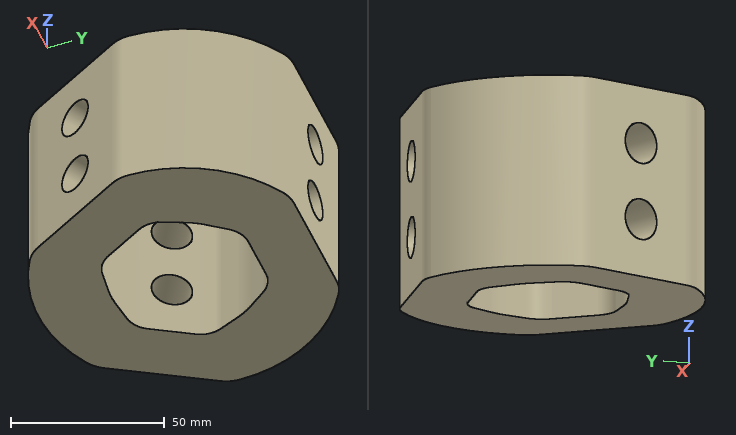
import cadquery as cq
import math

HEIGHT = 63.5
OUTER_RADIUS = 50.8
OUTER_FLAT_DISTANCE = 45.68
OUTER_CORNER_RADIUS = 12.7
FLAT_ANGLES = (90, 210, 330)

BORE_RADIUS = 25.4
BORE_CORNER_RADIUS = 9.525
BORE_SIDE_TILT = 7.0
FLAT_SPACING = 120

SCREW_HOLE_DIAMETER = 13.49
SCREW_HOLE_SPACING = 25.4


def polar(radius, angle):
    """Point at the given radius and angle in degrees."""
    return cq.Vector(radius * math.cos(math.radians(angle)), radius * math.sin(math.radians(angle)))


def make_body():
    """Cylinder cut by three flats, with blended vertical corners."""
    body = cq.Workplane("XY").circle(OUTER_RADIUS).extrude(HEIGHT)
    body = body.rotate((0, 0, 0), (0, 0, 1), FLAT_ANGLES[0])
    triangle_corner_radius = OUTER_FLAT_DISTANCE / math.cos(math.radians(FLAT_SPACING / 2))
    corners = [polar(triangle_corner_radius, angle + FLAT_SPACING / 2) for angle in FLAT_ANGLES]
    flats = cq.Workplane("XY").polyline(corners).close().extrude(HEIGHT)
    return body.intersect(flats).edges("|Z").fillet(OUTER_CORNER_RADIUS)


def corner_arc(corner_angle, half_turn, radius):
    """Start, middle and end of the arc that rounds a corner of the bore.

    The sides at the corner are tangent to the inscribed circle, half_turn degrees
    to either side of corner_angle.
    """
    cos_half_turn = math.cos(math.radians(half_turn))
    center = polar((BORE_RADIUS - radius) / cos_half_turn, corner_angle)
    return [center + polar(radius, corner_angle + turn) for turn in (-half_turn, 0, half_turn)]


def make_bore():
    """Prism that fills the bore."""
    half_spacing = FLAT_SPACING / 2
    flat_end_half_turn = (half_spacing - BORE_SIDE_TILT) / 2
    arcs = []
    for angle in FLAT_ANGLES:
        arcs.append(corner_arc(angle - flat_end_half_turn, flat_end_half_turn, BORE_CORNER_RADIUS))
        arcs.append(corner_arc(angle + flat_end_half_turn, flat_end_half_turn, BORE_CORNER_RADIUS))
        arcs.append(corner_arc(angle + half_spacing, BORE_SIDE_TILT, BORE_RADIUS))

    first_start = arcs[0][0]
    profile = cq.Workplane("XY").moveTo(first_start.x, first_start.y)
    for index, (start, middle, end) in enumerate(arcs):
        if index > 0:
            profile = profile.lineTo(start.x, start.y)
        profile = profile.threePointArc(middle.toTuple()[:2], end.toTuple()[:2])
    return profile.close().extrude(HEIGHT)


def make_screw_hole(angle, height):
    """Cylinder running from the axis out past the flat at the given angle."""
    start = cq.Vector(0, 0, height)
    hole = cq.Solid.makeCylinder(SCREW_HOLE_DIAMETER / 2, OUTER_RADIUS, start, polar(1, angle))
    return cq.Workplane(obj=hole)


result = make_body().cut(make_bore())
for flat_angle in FLAT_ANGLES:
    for side in (-1, 1):
        hole_height = HEIGHT / 2 + side * SCREW_HOLE_SPACING / 2
        result = result.cut(make_screw_hole(flat_angle, hole_height))